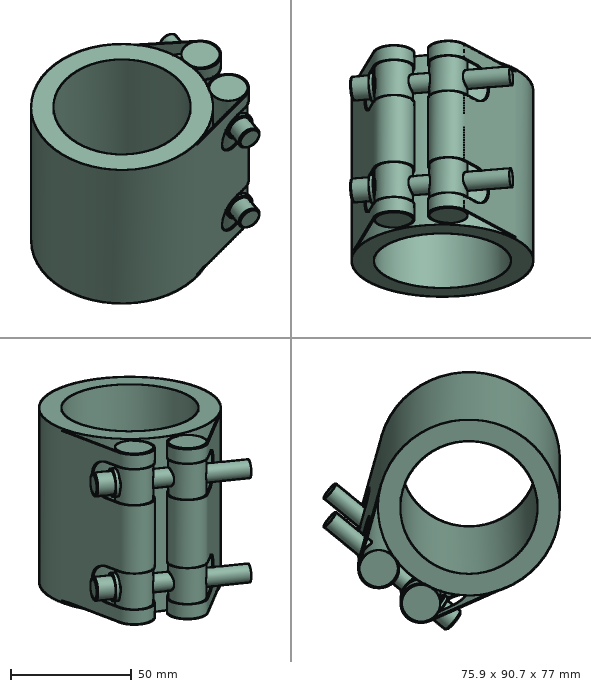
import cadquery as cq
import math

sleeve_diameter = 75.6
bore_diameter = 57.0
sleeve_height = 77.0
sleeve_radius = sleeve_diameter / 2

barrel_diameter = 16.0
barrel_height = 75.7
barrel_x = 11.5
barrel_y = 44.4
barrel_radius = barrel_diameter / 2

strap_thickness = 0.5
strap_height = 75.0
wrap_radius = barrel_radius + strap_thickness

bolt_spacing = 46.1
shank_diameter = 8.0
shank_start_x = -38.1
washer_diameter = 12.0
washer_start_x = 19.3
washer_thickness = 1.8
head_diameter = 10
head_length = 8.1
head_chamfer = 0.5

slot_width = 16.0
slot_end_y = 32.8
slot_radius = slot_width / 2


def z_cylinder(diameter, height, x=0, y=0):
    """Cylinder along Z, centred in height on the XY plane."""
    return cq.Workplane("XY").center(x, y).circle(diameter / 2).extrude(height / 2, both=True)


def x_cylinder(diameter, start_x, length, z):
    """Cylinder along X on the line through the barrel axes."""
    return (
        cq.Workplane("YZ", origin=(start_x, barrel_y, z))
        .circle(diameter / 2)
        .extrude(length)
    )


def polar(center, radius, angle):
    """Point at a radius and angle around a center."""
    return (center[0] + radius * math.cos(angle), center[1] + radius * math.sin(angle))


def make_left_strap():
    """Sheet from the sleeve tangent, over the left barrel and back to the sleeve."""
    sleeve_center = (0, 0)
    barrel_center = (-barrel_x, barrel_y)
    center_distance = math.hypot(barrel_x, barrel_y)
    barrel_angle = math.atan2(barrel_y, -barrel_x)
    tangent_angle = barrel_angle + math.acos((sleeve_radius - wrap_radius) / center_distance)
    end_angle = barrel_angle - math.pi
    middle_angle = (tangent_angle + end_angle) / 2
    return (
        cq.Workplane("XY")
        .moveTo(*polar(sleeve_center, sleeve_radius, tangent_angle))
        .lineTo(*polar(barrel_center, wrap_radius, tangent_angle))
        .threePointArc(
            polar(barrel_center, wrap_radius, middle_angle),
            polar(barrel_center, wrap_radius, end_angle),
        )
        .lineTo(*polar(barrel_center, barrel_radius, end_angle))
        .threePointArc(
            polar(barrel_center, barrel_radius, middle_angle),
            polar(barrel_center, barrel_radius, tangent_angle),
        )
        .lineTo(*polar(sleeve_center, sleeve_radius - strap_thickness, tangent_angle))
        .close()
        .extrude(strap_height / 2, both=True)
    )


def make_slot_cutter(z):
    """U-shaped prism along X that clears the strap around one bolt."""
    arc_center_y = slot_end_y + slot_radius
    open_end_y = barrel_y + 2 * wrap_radius
    return (
        cq.Workplane("YZ")
        .moveTo(open_end_y, z - slot_radius)
        .lineTo(arc_center_y, z - slot_radius)
        .threePointArc((slot_end_y, z), (arc_center_y, z + slot_radius))
        .lineTo(open_end_y, z + slot_radius)
        .close()
        .extrude(sleeve_radius, both=True)
    )


def make_bolt(z):
    """Shank, washer and chamfered cylindrical head."""
    head_start_x = washer_start_x + washer_thickness
    shank = x_cylinder(shank_diameter, shank_start_x, washer_start_x - shank_start_x, z)
    washer = x_cylinder(washer_diameter, washer_start_x, washer_thickness, z)
    head = x_cylinder(head_diameter, head_start_x, head_length, z)
    head = head.faces(">X").chamfer(head_chamfer)
    return shank.union(washer).union(head)


bolt_heights = (-bolt_spacing / 2, bolt_spacing / 2)

left_strap = make_left_strap()
straps = left_strap.union(left_strap.mirror("YZ"))
for bolt_z in bolt_heights:
    straps = straps.cut(make_slot_cutter(bolt_z))

sleeve = z_cylinder(sleeve_diameter, sleeve_height)
result = sleeve.union(straps)
for side in (-1, 1):
    result = result.union(z_cylinder(barrel_diameter, barrel_height, side * barrel_x, barrel_y))
for bolt_z in bolt_heights:
    result = result.union(make_bolt(bolt_z))
result = result.cut(z_cylinder(bore_diameter, sleeve_height))